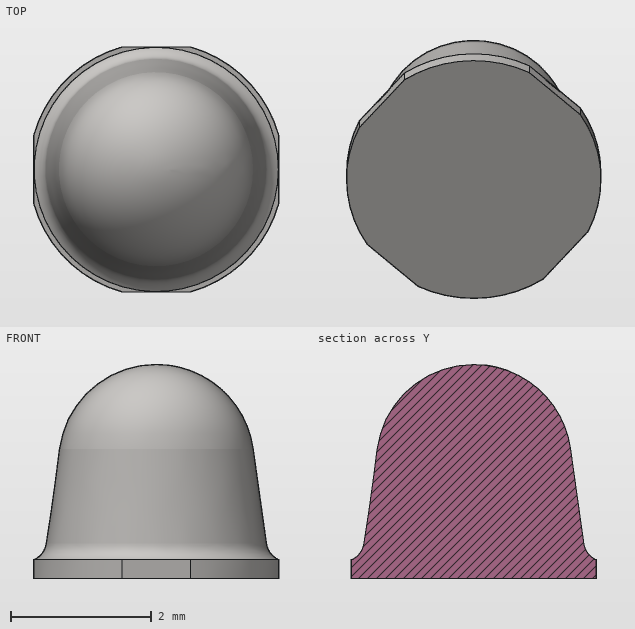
import cadquery as cq
import math

width = 3.5
flange_radius = 1.815
flange_height = 0.273

total_height = 3.06
flare_radius = 1.743
cone_bottom_radius = 1.575
cone_bottom_z = 0.5
dome_edge_radius = 1.385
dome_edge_z = 1.848


def make_flange():
    disc = cq.Workplane("XY").circle(flange_radius).extrude(flange_height)
    square = cq.Workplane("XY").rect(width, width).extrude(flange_height)
    return disc.intersect(square)


def make_lens():
    cap_height = total_height - dome_edge_z
    dome_radius = (dome_edge_radius**2 + cap_height**2) / (2 * cap_height)
    dome_center_z = total_height - dome_radius
    dome_middle = (
        dome_radius * math.sin(math.pi / 4),
        dome_center_z + dome_radius * math.cos(math.pi / 4),
    )
    profile = (
        cq.Workplane("XZ")
        .moveTo(0, total_height)
        .threePointArc(dome_middle, (dome_edge_radius, dome_edge_z))
        .lineTo(cone_bottom_radius, cone_bottom_z)
        .tangentArcPoint((flare_radius, flange_height), relative=False)
        .lineTo(flare_radius, 0)
        .lineTo(0, 0)
        .close()
    )
    return profile.revolve(360, (0, 0, 0), (0, 1, 0))


result = make_flange().union(make_lens())